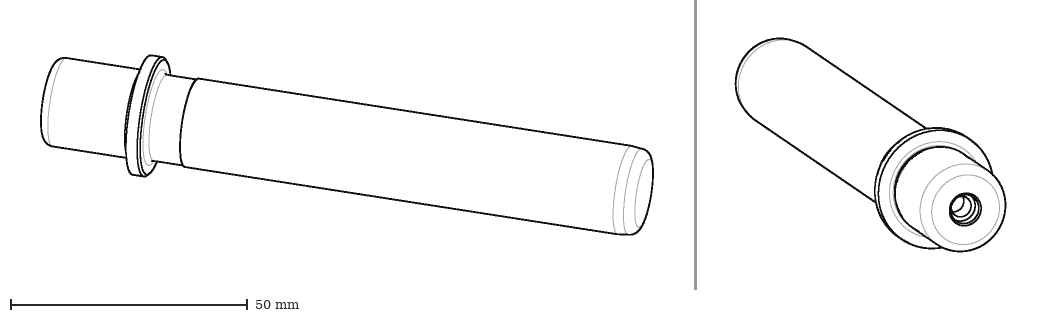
import cadquery as cq
import math

length = 130.0
body_radius = 9.5
nose_fillet = 2.0

flange_radius = 12.8
flange_start = 20.0
flange_end = 23.0
flange_edge = 0.5

undercut_start = 18.8
undercut_ramp = 0.5
undercut_depth = 0.4
face_undercut_radius = 10.4
face_undercut_depth = 0.3

neck_radius = 9.2
neck_end = 31.0
neck_fillet = 1.0

taper_start = 125.8
round_radius = 2.0
taper_end = length - round_radius
taper_end_radius = 9.2

bore_radius = 3.1
bore_depth = 2.9
bore_chamfer = 0.4
pilot_radius = 2.2
pilot_end = 7.8
drill_half_angle = math.radians(59)


def quarter_point(center_x, center_r, radius, toward_x, toward_r):
    """Midpoint of a quarter arc, on the diagonal given by two signs."""
    offset = radius * math.sqrt(0.5)
    return (center_x + toward_x * offset, center_r + toward_r * offset)


def revolve_profile(profile):
    """Turn a closed half profile about the X axis."""
    return profile.close().revolve(360, (0, 0, 0), (1, 0, 0))


def make_pin():
    groove_radius = body_radius - undercut_depth
    fillet_radius = neck_radius + neck_fillet
    end_face_radius = taper_end_radius - round_radius
    nose_face_radius = body_radius - nose_fillet
    profile = (
        cq.Workplane("XY")
        .lineTo(0, nose_face_radius)
        .threePointArc(
            quarter_point(nose_fillet, nose_face_radius, nose_fillet, -1, 1),
            (nose_fillet, body_radius),
        )
        .lineTo(undercut_start, body_radius)
        .lineTo(undercut_start + undercut_ramp, groove_radius)
        .lineTo(flange_start + face_undercut_depth, groove_radius)
        .lineTo(flange_start + face_undercut_depth, body_radius)
        .lineTo(flange_start, face_undercut_radius)
        .lineTo(flange_start, flange_radius)
        .lineTo(flange_end - flange_edge, flange_radius)
        .lineTo(flange_end, flange_radius - flange_edge)
        .lineTo(flange_end, fillet_radius)
        .threePointArc(
            quarter_point(flange_end + neck_fillet, fillet_radius, neck_fillet, -1, -1),
            (flange_end + neck_fillet, neck_radius),
        )
        .lineTo(neck_end, neck_radius)
        .lineTo(neck_end, body_radius)
        .lineTo(taper_start, body_radius)
        .lineTo(taper_end, taper_end_radius)
        .threePointArc(
            quarter_point(taper_end, end_face_radius, round_radius, 1, 1),
            (length, end_face_radius),
        )
        .lineTo(length, 0)
    )
    return revolve_profile(profile)


def make_centre_hole():
    tip = pilot_end + pilot_radius / math.tan(drill_half_angle)
    profile = (
        cq.Workplane("XY")
        .lineTo(0, bore_radius + bore_chamfer)
        .lineTo(bore_chamfer, bore_radius)
        .lineTo(bore_depth, bore_radius)
        .lineTo(bore_depth, pilot_radius)
        .lineTo(pilot_end, pilot_radius)
        .lineTo(tip, 0)
    )
    return revolve_profile(profile)


result = make_pin().cut(make_centre_hole())